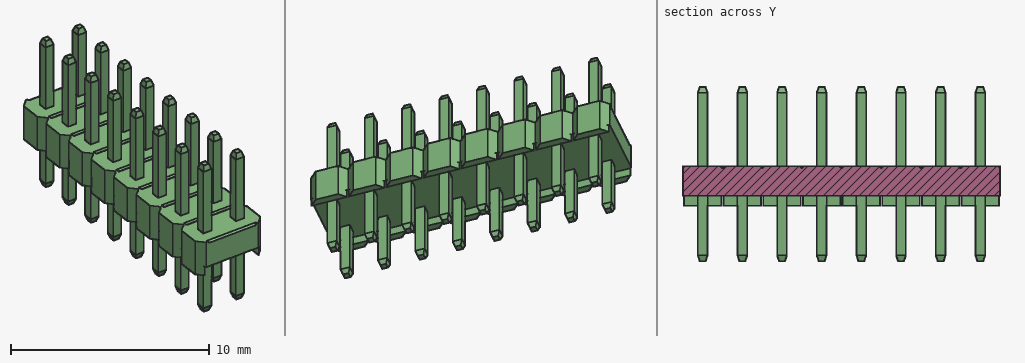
import cadquery as cq

PITCH = 2.0
PIN_COLUMNS = 8
PIN_ROWS = 2
BODY_HEIGHT = 2.0
CORNER_CUT = 0.4

PIN_WIDTH = 0.5
PIN_ABOVE_BODY = 4.0
PIN_BELOW_BODY = 2.8
TIP_LENGTH = 0.3
TIP_INSET = 0.1

CHANNEL_DEPTH = 0.5
SKIRT_THICKNESS = 0.35

GROOVE_DEPTH = 0.1
GROOVE_LENGTH = 3.0

BODY_LENGTH = PITCH * PIN_COLUMNS
BODY_WIDTH = PITCH * PIN_ROWS
CHANNEL_WIDTH = BODY_WIDTH - 2 * SKIRT_THICKNESS
TIP_WIDTH = PIN_WIDTH - 2 * TIP_INSET
PIN_TOP = BODY_HEIGHT + PIN_ABOVE_BODY
PIN_BOTTOM = -PIN_BELOW_BODY


def centered_places(count):
    """Coordinates of evenly pitched items, centred on zero."""
    return [(index - (count - 1) / 2) * PITCH for index in range(count)]


def body_segment(x):
    """One octagonal housing segment, standing on Z = 0."""
    return (
        cq.Workplane("XY")
        .center(x, 0)
        .rect(PITCH, BODY_WIDTH)
        .extrude(BODY_HEIGHT)
        .edges("|Z")
        .chamfer(CORNER_CUT)
    )


def underside_channel():
    """Channel along the whole length, between the two side skirts."""
    return cq.Workplane("XY").rect(BODY_LENGTH, CHANNEL_WIDTH).extrude(CHANNEL_DEPTH)


def break_groove(x):
    """V-shaped cutter, with sloped ends, for the joint between two segments."""
    bottom_length = GROOVE_LENGTH - 2 * GROOVE_DEPTH
    side = [
        (-GROOVE_LENGTH / 2, BODY_HEIGHT),
        (GROOVE_LENGTH / 2, BODY_HEIGHT),
        (bottom_length / 2, BODY_HEIGHT - GROOVE_DEPTH),
        (-bottom_length / 2, BODY_HEIGHT - GROOVE_DEPTH),
    ]
    section = [
        (x - GROOVE_DEPTH, BODY_HEIGHT),
        (x + GROOVE_DEPTH, BODY_HEIGHT),
        (x, BODY_HEIGHT - GROOVE_DEPTH),
    ]
    vee = cq.Workplane("XZ").polyline(section).close().extrude(GROOVE_LENGTH / 2, both=True)
    ends = cq.Workplane("YZ", origin=(x, 0, 0)).polyline(side).close().extrude(GROOVE_DEPTH, both=True)
    return vee.intersect(ends)


def pin_tip(x, y, base, direction):
    """Tapered pin end running up (direction 1) or down (direction -1) from its base."""
    return (
        cq.Workplane("XY", origin=(x, y, base))
        .rect(PIN_WIDTH, PIN_WIDTH)
        .workplane(offset=direction * TIP_LENGTH)
        .rect(TIP_WIDTH, TIP_WIDTH)
        .loft()
    )


def pin(x, y):
    """Square pin with both ends tapered."""
    shank_bottom = PIN_BOTTOM + TIP_LENGTH
    shank_top = PIN_TOP - TIP_LENGTH
    shank = (
        cq.Workplane("XY", origin=(x, y, shank_bottom))
        .rect(PIN_WIDTH, PIN_WIDTH)
        .extrude(shank_top - shank_bottom)
    )
    upper_tip = pin_tip(x, y, shank_top, 1)
    lower_tip = pin_tip(x, y, shank_bottom, -1)
    return shank.union(upper_tip).union(lower_tip)


def housing():
    """Row of joined segments with its channel and break grooves."""
    body = cq.Workplane("XY")
    for x in centered_places(PIN_COLUMNS):
        body = body.union(body_segment(x))
    body = body.cut(underside_channel())
    for x in centered_places(PIN_COLUMNS + 1):
        body = body.cut(break_groove(x))
    return body


result = housing()
for pin_x in centered_places(PIN_COLUMNS):
    for pin_y in centered_places(PIN_ROWS):
        result = result.union(pin(pin_x, pin_y))